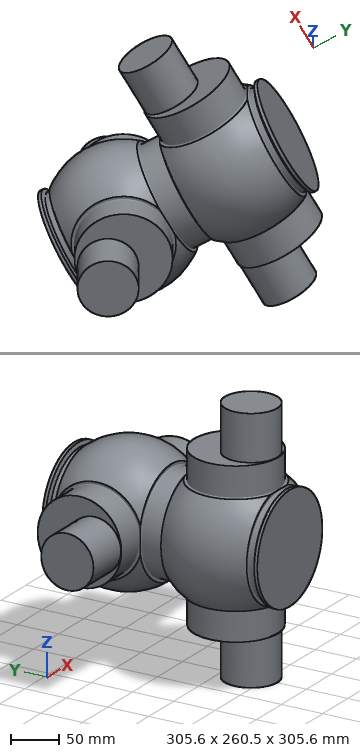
import cadquery as cq
import math

overall_length = 260.53
overall_width = 305.56
chamber_spacing = 130.0
chamber_radius = 82.7
port_reach = 98.1
pipe_reach = overall_width / 2

neck_flat = 51.9
port_flat = 62.3

neck_radius = 60.3
port_radius = 50.8
pipe_radius = 31.75
pipe_inset = 0.65
pipe_offset = port_radius - pipe_radius - pipe_inset

flange_radius = 65.0
flange_rim = 4.0
flange_back_angle = 15.0
flange_thickness = flange_rim + (flange_radius - neck_radius) * math.tan(math.radians(flange_back_angle))

root_fillet = 1.0

cutter_margin = 1.0
match_tolerance = 1e-4

x_axis = cq.Vector(1, 0, 0)
y_axis = cq.Vector(0, 1, 0)
z_axis = cq.Vector(0, 0, 1)


def rod(direction, radius, reach, center_y):
    """Cylinder through (0, center_y, 0), reaching equally far both ways along a direction."""
    start = cq.Vector(0, center_y, 0) - direction * reach
    return cq.Workplane(cq.Solid.makeCylinder(radius, 2 * reach, start, direction))


def chamber(center_y, port_axis):
    """Ball with flats across Y and across the ports, and two ports carrying eccentric pipes."""
    clear_radius = chamber_radius + cutter_margin
    ball = cq.Workplane("XY").sphere(chamber_radius).translate((0, center_y, 0))
    ball = ball.intersect(rod(y_axis, clear_radius, neck_flat, center_y))
    ball = ball.intersect(rod(port_axis, clear_radius, port_flat, center_y))
    ports = rod(port_axis, port_radius, port_reach, center_y)
    pipes = rod(port_axis, pipe_radius, pipe_reach, center_y - pipe_offset)
    return ball.union(ports).union(pipes)


def spine():
    """Neck tube along Y with a flange at each end."""
    end = overall_length / 2
    profile = (
        cq.Workplane("XY")
        .moveTo(0, -end)
        .lineTo(flange_radius, -end)
        .lineTo(flange_radius, -end + flange_rim)
        .lineTo(neck_radius, -end + flange_thickness)
        .lineTo(neck_radius, end - flange_thickness)
        .lineTo(flange_radius, end - flange_rim)
        .lineTo(flange_radius, end)
        .lineTo(0, end)
        .close()
    )
    return profile.revolve(360, (0, 0, 0), (0, 1, 0))


def is_root(edge):
    """True for the circles where a neck meets a flange or ball, or a port meets a ball."""
    if edge.geomType() != "CIRCLE":
        return False
    center = edge.arcCenter()
    port_distance = max(abs(center.x), abs(center.z))
    on_neck = math.isclose(edge.radius(), neck_radius, abs_tol=match_tolerance)
    on_port = math.isclose(edge.radius(), port_radius, abs_tol=match_tolerance)
    at_flat = math.isclose(port_distance, port_flat, abs_tol=match_tolerance)
    return on_neck or (on_port and at_flat)


rear_chamber = chamber(chamber_spacing / 2, x_axis)
front_chamber = chamber(-chamber_spacing / 2, z_axis)
body = spine().union(rear_chamber).union(front_chamber)
root_edges = [edge for edge in body.edges().vals() if is_root(edge)]
result = body.newObject(root_edges).fillet(root_fillet).solids()